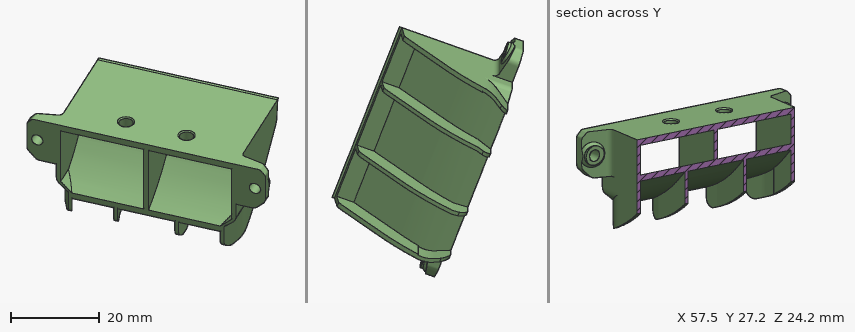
import cadquery as cq

OVERALL_WIDTH = 57.5
BODY_WIDTH = 43.35
DEPTH = 27.2
HEIGHT = 24.2
HALF_BODY = BODY_WIDTH / 2
HALF_OVERALL = OVERALL_WIDTH / 2

TOP_THICKNESS = 1.55
SIDE_WALL = 1.1
DIVIDER = 1.15
RIB_THICKNESS = 0.9
PLATE_DROP = 1.55

LIP_LENGTH = 0.6
LIP_THICKNESS = 0.2
REAR_KNEE = (26.0, -5.3)
SLOPE_TOP = (25.3, -6.3)
SLOPE_END = (14.7, -16.6)
BELLY_MIDDLE = (6.9, -22.1)
TOE_RADIUS = 1.95

FLOOR_Z = -18.15
FLOOR_CURVE_END = (10.9, -11.05)
CAVITY_REAR = 20.75
CAVITY_CHAMFER_X = 2.7
CAVITY_CHAMFER_Z = 2.55
HALF_CAVITY = HALF_BODY - SIDE_WALL

CORNER_FRONT_X = 18.75
CORNER_LINE_END = (20.75, 3.4)
CORNER_ARC_MIDDLE = (21.45, 5.05)
CORNER_DEPTH = 6.85
CORNER_TOP_Z = -14.55
CORNER_BEND_START = (21.5, -15.4)
CORNER_BEND_END = (21.05, -16.15)
INNER_RIB_FRONT_X = 7.8
INNER_RIB_REAR_X = 8.5
INNER_RIB_BEND = 3.4

LUG_HEIGHT = 11.1
LUG_TIP_THICKNESS = 2.05
LUG_ROOT_THICKNESS = 3.45
LUG_FILLET = 1.25
LUG_TOP_CHAMFER = 1.4
LUG_BOTTOM_CHAMFER = 2.5
LUG_TOP_ROUND = 0.9
LUG_BOTTOM_ROUND = 1.7
EDGE_MARGIN = 0.05
LUG_HOLE_X = 26.2
LUG_HOLE_Z = -5.5
LUG_HOLE_DIAMETER = 2.7
LUG_BOSS_DIAMETER = 4.6
LUG_BOSS_FOOT_DIAMETER = 6.0
LUG_BOSS_FOOT_TOP_DIAMETER = 4.35
LUG_BOSS_FOOT_HEIGHT = 0.7
LUG_BOSS_END_Y = 3.5
LUG_ROOT_X = HALF_BODY + LUG_FILLET
LUG_SLOPE = (LUG_ROOT_THICKNESS - LUG_TIP_THICKNESS) / (HALF_OVERALL - LUG_ROOT_X)

TOP_HOLE_X = 7.3
TOP_HOLE_Y = 6.5
TOP_HOLE_DIAMETER = 3.3
TOP_HOLE_MOUTH = 3.85
TOP_HOLE_CHAMFER = (TOP_HOLE_MOUTH - TOP_HOLE_DIAMETER) / 2
BOSS_BASE_DIAMETER = 7.25
BOSS_END_DIAMETER = 6.2
BOSS_END_Z = -2.8


def extrude_across(profile, half_width):
    """Extrude a YZ profile symmetrically about the middle plane."""
    return profile.extrude(half_width, both=True)


def mirrored(solid):
    """The solid together with its mirror image across the middle plane."""
    return solid.union(solid.mirror("YZ"))


def envelope():
    """Side profile that limits the walls and ribs, over the full body width."""
    profile = (
        cq.Workplane("YZ")
        .lineTo(DEPTH, 0)
        .lineTo(DEPTH - LIP_LENGTH, -LIP_THICKNESS)
        .lineTo(*REAR_KNEE)
        .lineTo(*SLOPE_TOP)
        .lineTo(*SLOPE_END)
        .threePointArc(BELLY_MIDDLE, (TOE_RADIUS, -HEIGHT))
        .radiusArc((0, TOE_RADIUS - HEIGHT), TOE_RADIUS)
        .close()
    )
    return extrude_across(profile, HALF_BODY)


def above_plate(top_z, drop, half_width):
    """Space between a level top and the curved plate face lowered by drop."""
    run = CAVITY_REAR - FLOOR_CURVE_END[0]
    slope = (-TOP_THICKNESS - FLOOR_CURVE_END[1]) / run
    rear_y = CAVITY_REAR + (top_z + TOP_THICKNESS + drop) / slope
    profile = (
        cq.Workplane("YZ")
        .moveTo(0, top_z)
        .lineTo(rear_y, top_z)
        .lineTo(FLOOR_CURVE_END[0], FLOOR_CURVE_END[1] - drop)
        .tangentArcPoint((0, FLOOR_Z - drop), relative=False)
        .close()
    )
    return extrude_across(profile, half_width)


def cavity():
    """Two bays above the plate, with the outer bottom corners chamfered."""
    mouth = (
        cq.Workplane("XZ")
        .moveTo(DIVIDER / 2, 0)
        .lineTo(HALF_CAVITY, 0)
        .lineTo(HALF_CAVITY, FLOOR_Z + CAVITY_CHAMFER_Z)
        .lineTo(HALF_CAVITY - CAVITY_CHAMFER_X, FLOOR_Z)
        .lineTo(DIVIDER / 2, FLOOR_Z)
        .close()
        .extrude(-DEPTH)
    )
    return above_plate(-TOP_THICKNESS, 0, HALF_CAVITY).intersect(mirrored(mouth))


def corner_cut():
    """Material removed outside the outer rib, below the bent corner wall."""
    below_bend = (
        cq.Workplane("XZ")
        .moveTo(HALF_OVERALL, CORNER_TOP_Z)
        .lineTo(HALF_BODY, CORNER_TOP_Z)
        .threePointArc(CORNER_BEND_START, CORNER_BEND_END)
        .lineTo(CORNER_FRONT_X, FLOOR_Z)
        .lineTo(CORNER_FRONT_X, -HEIGHT)
        .lineTo(HALF_OVERALL, -HEIGHT)
        .close()
        .extrude(-CORNER_DEPTH)
    )
    outside_rib = (
        cq.Workplane("XY")
        .moveTo(CORNER_FRONT_X, 0)
        .lineTo(*CORNER_LINE_END)
        .threePointArc(CORNER_ARC_MIDDLE, (HALF_BODY, CORNER_DEPTH))
        .lineTo(HALF_OVERALL, CORNER_DEPTH)
        .lineTo(HALF_OVERALL, 0)
        .close()
        .extrude(-HEIGHT)
    )
    return mirrored(below_bend.intersect(outside_rib))


def outer_rib():
    """Thin wall below the plate, flared outwards from the mouth to the side."""
    return (
        cq.Workplane("XY")
        .moveTo(CORNER_FRONT_X, 0)
        .lineTo(*CORNER_LINE_END)
        .threePointArc(CORNER_ARC_MIDDLE, (HALF_BODY, CORNER_DEPTH))
        .lineTo(HALF_BODY, DEPTH)
        .lineTo(HALF_BODY - RIB_THICKNESS, DEPTH)
        .lineTo(HALF_BODY - RIB_THICKNESS, CORNER_DEPTH)
        .threePointArc(
            (CORNER_ARC_MIDDLE[0] - RIB_THICKNESS, CORNER_ARC_MIDDLE[1]),
            (CORNER_LINE_END[0] - RIB_THICKNESS, CORNER_LINE_END[1]),
        )
        .lineTo(CORNER_FRONT_X - RIB_THICKNESS, 0)
        .close()
        .extrude(-HEIGHT)
    )


def inner_rib():
    """Thin rib below the plate with a slightly turned front end."""
    return (
        cq.Workplane("XY")
        .moveTo(INNER_RIB_FRONT_X, 0)
        .lineTo(INNER_RIB_REAR_X, INNER_RIB_BEND)
        .lineTo(INNER_RIB_REAR_X, DEPTH)
        .lineTo(INNER_RIB_REAR_X - RIB_THICKNESS, DEPTH)
        .lineTo(INNER_RIB_REAR_X - RIB_THICKNESS, INNER_RIB_BEND)
        .lineTo(INNER_RIB_FRONT_X - RIB_THICKNESS, 0)
        .close()
        .extrude(-HEIGHT)
    )


def side_wall():
    """Straight outer wall, notched where the front corner is cut back."""
    profile = (
        cq.Workplane("YZ", origin=(HALF_CAVITY, 0, 0))
        .lineTo(DEPTH, 0)
        .lineTo(DEPTH, -HEIGHT)
        .lineTo(CORNER_DEPTH, -HEIGHT)
        .lineTo(CORNER_DEPTH, CORNER_TOP_Z)
        .lineTo(0, CORNER_TOP_Z)
        .close()
    )
    return profile.extrude(SIDE_WALL)


def body():
    top = cq.Workplane("XY").box(BODY_WIDTH, DEPTH, TOP_THICKNESS, centered=(True, False, False))
    top = top.translate((0, 0, -TOP_THICKNESS))
    walls = top.union(mirrored(side_wall())).union(mirrored(outer_rib())).union(mirrored(inner_rib()))
    core = above_plate(0, PLATE_DROP, HALF_BODY)
    return walls.union(core).intersect(envelope()).cut(cavity()).cut(corner_cut())


def lug_boss():
    """Boss standing on the sloping rear face of the lug, flared at its foot."""
    face_y = LUG_TIP_THICKNESS + (HALF_OVERALL - LUG_HOLE_X) * LUG_SLOPE
    face = cq.Plane(origin=(LUG_HOLE_X, face_y, LUG_HOLE_Z), xDir=(0, 0, 1), normal=(LUG_SLOPE, 1, 0))
    foot = (
        cq.Workplane(face)
        .circle(LUG_BOSS_FOOT_DIAMETER / 2)
        .workplane(offset=LUG_BOSS_FOOT_HEIGHT)
        .circle(LUG_BOSS_FOOT_TOP_DIAMETER / 2)
        .loft()
    )
    level_axis = cq.Workplane("XZ", origin=(LUG_HOLE_X, 0, LUG_HOLE_Z))
    post = level_axis.circle(LUG_BOSS_DIAMETER / 2).extrude(-LUG_BOSS_END_Y)
    level_limit = level_axis.circle(LUG_BOSS_FOOT_DIAMETER).extrude(-LUG_BOSS_END_Y)
    return foot.intersect(level_limit).union(post)


def lug_block():
    """Outline of the lug seen along Y, with chamfered and rounded outer corners."""
    block = (
        cq.Workplane("XZ")
        .moveTo(HALF_CAVITY, 0)
        .lineTo(HALF_OVERALL, 0)
        .lineTo(HALF_OVERALL, -LUG_HEIGHT)
        .lineTo(HALF_CAVITY, -LUG_HEIGHT)
        .close()
        .extrude(-DEPTH)
    )
    block = block.edges(">X and >Z").chamfer(LUG_TOP_CHAMFER)
    block = block.edges(">X and <Z").chamfer(LUG_BOTTOM_CHAMFER)
    for low_z, high_z, radius in (
        (-LUG_HEIGHT / 2, 0, LUG_TOP_ROUND),
        (-LUG_HEIGHT, -LUG_HEIGHT / 2, LUG_BOTTOM_ROUND),
    ):
        corner = cq.selectors.BoxSelector(
            (HALF_BODY, 0, low_z - EDGE_MARGIN),
            (HALF_OVERALL + EDGE_MARGIN, DEPTH, high_z + EDGE_MARGIN),
        )
        block = block.edges("|Y").edges(corner).fillet(radius)
    return block


def lug():
    """Side lug, thinning towards its tip, with a bossed screw hole."""
    plan = (
        cq.Workplane("XY")
        .moveTo(HALF_CAVITY, 0)
        .lineTo(HALF_OVERALL, 0)
        .lineTo(HALF_OVERALL, LUG_TIP_THICKNESS)
        .lineTo(LUG_ROOT_X, LUG_ROOT_THICKNESS)
        .radiusArc((HALF_BODY, LUG_ROOT_THICKNESS + LUG_FILLET), LUG_FILLET)
        .lineTo(HALF_CAVITY, LUG_ROOT_THICKNESS + LUG_FILLET)
        .close()
        .extrude(-LUG_HEIGHT)
    )
    hole = (
        cq.Workplane("XZ", origin=(LUG_HOLE_X, 0, LUG_HOLE_Z))
        .circle(LUG_HOLE_DIAMETER / 2)
        .extrude(-DEPTH)
    )
    return plan.union(lug_boss()).intersect(lug_block()).cut(hole)


def ceiling_boss():
    """Tapered boss hanging from the top into a bay."""
    return (
        cq.Workplane("XY", origin=(TOP_HOLE_X, TOP_HOLE_Y, -TOP_THICKNESS))
        .circle(BOSS_BASE_DIAMETER / 2)
        .workplane(offset=BOSS_END_Z + TOP_THICKNESS)
        .circle(BOSS_END_DIAMETER / 2)
        .loft()
    )


def top_hole():
    """Hole through the top and its boss, with a chamfered mouth."""
    bore = (
        cq.Workplane("XY", origin=(TOP_HOLE_X, TOP_HOLE_Y, 0))
        .circle(TOP_HOLE_DIAMETER / 2)
        .extrude(BOSS_END_Z)
    )
    mouth = (
        cq.Workplane("XY", origin=(TOP_HOLE_X, TOP_HOLE_Y, 0))
        .circle(TOP_HOLE_MOUTH / 2)
        .workplane(offset=-TOP_HOLE_CHAMFER)
        .circle(TOP_HOLE_DIAMETER / 2)
        .loft()
    )
    return bore.union(mouth)


result = body().union(mirrored(lug())).union(mirrored(ceiling_boss())).cut(mirrored(top_hole()))